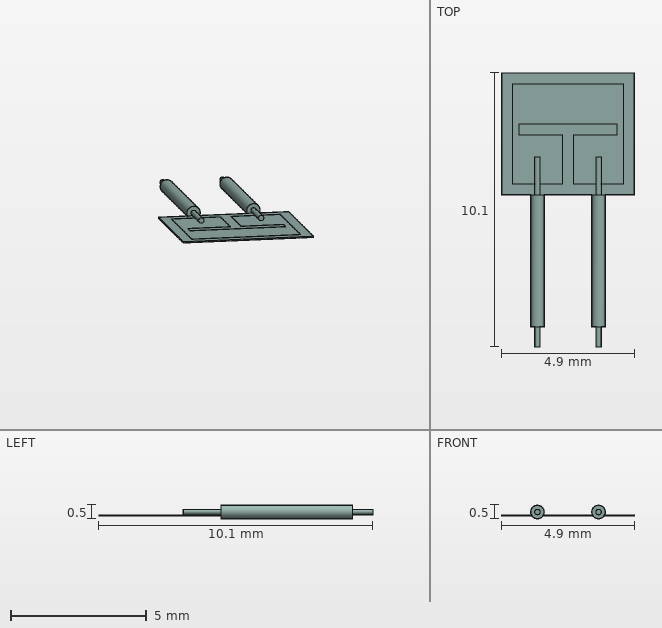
import cadquery as cq

plate_width = 4.9
plate_length = 4.49
plate_thickness = 0.05

film_margin = 0.4
film_thickness = 0.01
film_width = plate_width - 2 * film_margin
film_length = plate_length - 2 * film_margin
gap_width = 0.4
crossbar_length = 3.6
stem_length = 1.8

overall_length = 10.1
lead_spacing = 2.25
wire_diameter = 0.2
wire_overlap = 1.39
wire_front_y = plate_length - overall_length
sleeve_diameter = 0.5
sleeve_length = 4.86
lead_axis_z = wire_diameter / 2


def slab(width, length, thickness, y_front):
    """Flat block centred on X, with its top face on Z = 0 and its front edge at y_front."""
    return cq.Workplane("XY", origin=(0, y_front, -thickness)).box(
        width, length, thickness, centered=(True, False, False)
    )


def rod(diameter, x, y_back, y_front):
    """Cylinder along Y at the height of the lead axis, from y_back to y_front."""
    return (
        cq.Workplane("XZ", origin=(x, y_back, lead_axis_z))
        .circle(diameter / 2)
        .extrude(y_back - y_front)
    )


def make_film():
    sheet = slab(film_width, film_length, film_thickness, film_margin)
    stem = slab(gap_width, stem_length, film_thickness, film_margin)
    crossbar = slab(crossbar_length, gap_width, film_thickness, film_margin + stem_length)
    return sheet.cut(stem).cut(crossbar)


def make_plate(film):
    """Carrier plate with a recess that matches the film."""
    return slab(plate_width, plate_length, plate_thickness, 0).cut(film)


def make_wire(x):
    return rod(wire_diameter, x, wire_overlap, wire_front_y)


def make_sleeve(x):
    """Insulation tube that butts against the front edge of the plate."""
    tube = rod(sleeve_diameter, x, 0, -sleeve_length)
    bore = rod(wire_diameter, x, 0, -sleeve_length)
    return tube.cut(bore)


film = make_film()
plate = make_plate(film)

wires = []
sleeves = []
for lead_x in (-lead_spacing / 2, lead_spacing / 2):
    wires.append(make_wire(lead_x).val())
    sleeves.append(make_sleeve(lead_x).val())

result = cq.Compound.makeCompound([plate.val(), film.val(), *wires, *sleeves])